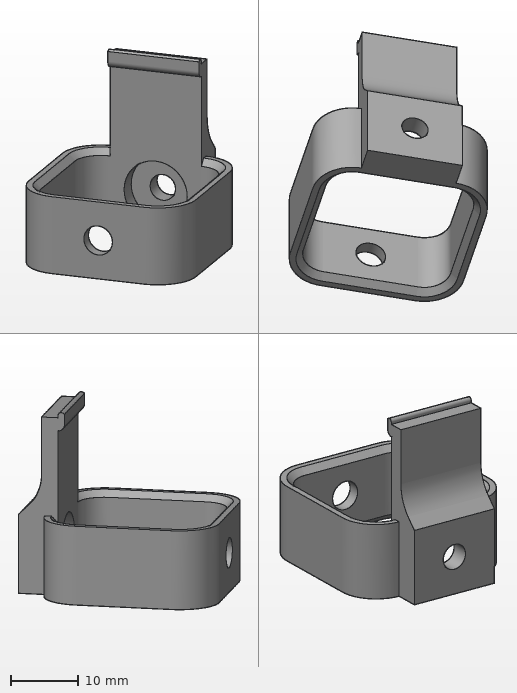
import cadquery as cq
import math

ring_side = 26.45
ring_height = 12.0
wall = 2.0
corner_radius = 6.0
rim_chamfer = 1.0
base_chamfer = 1.0

tab_width = ring_side - 2 * corner_radius
tab_top = 27.0
tab_thickness = 2.5
foot_overhang = 4.0
shoulder_radius = 6.5
shoulder_angle = math.radians(45)

catch_depth = 1.0
catch_bottom = 25.0
catch_peak = 27.8
tip_flat_angle = math.radians(30)

hole_height = ring_height / 2
front_hole_diameter = 4.5
screw_hole_diameter = 4.0
head_diameter = 10.0
head_depth = 3.0

inner_side = ring_side - 2 * wall
inner_radius = corner_radius - wall
inner_face_y = inner_side / 2
outer_face_y = ring_side / 2
foot_back_y = outer_face_y + foot_overhang


def rounded_prism(side, radius, height):
    return cq.Workplane("XY").rect(side, side).extrude(height).edges("|Z").fillet(radius)


def point_on_circle(center, radius, angle):
    """Point (y, z) at an angle measured from +Y towards +Z."""
    return (center[0] + radius * math.cos(angle), center[1] + radius * math.sin(angle))


def make_ring():
    opening = rounded_prism(inner_side, inner_radius, ring_height)
    return rounded_prism(ring_side, corner_radius, ring_height).cut(opening)


def make_flare(chamfer):
    """Cutter standing on Z = 0 that chamfers the lower inner edge of the opening."""
    flare_height = ring_height / 2
    flare = rounded_prism(inner_side + 2 * chamfer, inner_radius + chamfer, flare_height)
    return flare.faces(">Z").edges().chamfer(chamfer).translate((0, 0, chamfer - flare_height))


def make_tab():
    tab_back_y = inner_face_y + tab_thickness
    catch_y = inner_face_y - catch_depth

    blend_center_y = tab_back_y + shoulder_radius
    blend_start_y = blend_center_y - shoulder_radius * math.cos(shoulder_angle)
    blend_start_z = ring_height + (foot_back_y - blend_start_y) * math.tan(shoulder_angle)
    blend_end_z = blend_start_z + shoulder_radius * math.sin(shoulder_angle)
    blend_center = (blend_center_y, blend_end_z)
    blend_mid = point_on_circle(blend_center, shoulder_radius, math.pi + shoulder_angle / 2)

    tip_radius = catch_depth / 2
    tip_center = (inner_face_y - tip_radius, catch_peak - tip_radius)
    tip_peak = (tip_center[0], catch_peak)
    flat_start = point_on_circle(tip_center, tip_radius, math.pi / 2 + tip_flat_angle)
    flat_end_z = flat_start[1] - (flat_start[0] - catch_y) * math.tan(tip_flat_angle)

    underside_center = (inner_face_y, catch_bottom + catch_depth)
    underside_mid = point_on_circle(underside_center, catch_depth, math.radians(225))

    profile = (
        cq.Workplane("YZ")
        .moveTo(inner_face_y, 0)
        .lineTo(foot_back_y, 0)
        .lineTo(foot_back_y, ring_height)
        .lineTo(blend_start_y, blend_start_z)
        .threePointArc(blend_mid, (tab_back_y, blend_end_z))
        .lineTo(tab_back_y, tab_top)
        .lineTo(inner_face_y, tab_top)
        .lineTo(inner_face_y, tip_center[1])
        .threePointArc(tip_peak, flat_start)
        .lineTo(catch_y, flat_end_z)
        .lineTo(catch_y, underside_center[1])
        .threePointArc(underside_mid, (inner_face_y, catch_bottom))
        .close()
    )
    return profile.extrude(tab_width / 2, both=True)


def bore(diameter, start_y, end_y):
    """Cylinder along Y at the hole height."""
    start = cq.Vector(0, start_y, hole_height)
    along_y = cq.Vector(0, 1, 0)
    return cq.Workplane(cq.Solid.makeCylinder(diameter / 2, end_y - start_y, start, along_y))


rim_flare = make_flare(rim_chamfer).mirror("XY").translate((0, 0, ring_height))
base_flare = make_flare(base_chamfer)

front_hole = bore(front_hole_diameter, -outer_face_y, 0)
screw_hole = bore(screw_hole_diameter, 0, foot_back_y)
head_recess = bore(head_diameter, 0, inner_face_y + head_depth)

body = make_ring().cut(rim_flare).union(make_tab()).cut(base_flare)
result = body.cut(front_hole).cut(screw_hole).cut(head_recess)